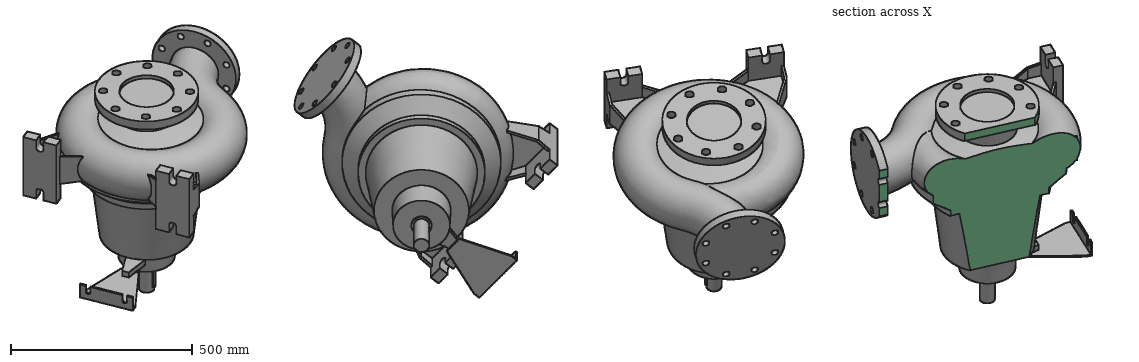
import cadquery as cq
import math


TUBE_DIAMETER = 141.0
VOLUTE_RADIUS = 193.0
VOLUTE_OFFSET_X = 15.0
OUTLET_TURN = 60
TIP_DIAMETER = 115.0
TIP_X = 80.5
TIP_Y = 165.5

BOLT_COUNT = 8
OUTLET_FACE_Y = 355.0
OUTLET_FLANGE_DIAMETER = 251.0
OUTLET_FLANGE_THICKNESS = 25.5
OUTLET_BOLT_CIRCLE = 210.5
OUTLET_BOLT_HOLE = 19.0
INLET_FACE_Z = 141.5
INLET_FLANGE_DIAMETER = 285.5
INLET_FLANGE_THICKNESS = 27.5
INLET_BOLT_CIRCLE = 239.0
INLET_BOLT_HOLE = 23.5
INLET_BORE_DIAMETER = 150.0
INLET_BORE_DEPTH = 11.5

NECK_RADIUS = 82.5
COVER_RADIUS = 161.0
COVER_TOP_Z = 63.5
COVER_EDGE_Z = 49.0
CASING_RADIUS = 219.0
CASING_TOP_Z = -27.0
CASING_BOTTOM_Z = -78.5
COLLAR_RADIUS = 175.0
COLLAR_TOP_Z = -115.0
COLLAR_BOTTOM_Z = -134.0
LANTERN_TOP_RADIUS = 154.0
LANTERN_BOTTOM_RADIUS = 130.5
LANTERN_BOTTOM_Z = -338.5
HOUSING_TOP_RADIUS = 81.0
HOUSING_BOTTOM_RADIUS = 78.5
HOUSING_BOTTOM_Z = -417.0
SEAL_RADIUS = 28.0
SEAL_BOTTOM_Z = -419.5
SHAFT_RADIUS = 21.5
OVERALL_HEIGHT = 670.0
SHAFT_BOTTOM_Z = INLET_FACE_Z - OVERALL_HEIGHT

KEY_WIDTH = 14.0
KEY_REACH = 25.0
KEY_TOP_Z = -427.5
KEY_BOTTOM_Z = -518.0

FOOT_FACE_Y = -280.0
FOOT_OUTER_X = 250.0
FOOT_WIDTH = 100.5
FOOT_HEIGHT = 198.0
FOOT_THICKNESS = 29.5
FOOT_SLOT_X = FOOT_OUTER_X - FOOT_WIDTH / 2
FOOT_SLOT_WIDTH = 22.0
FOOT_SLOT_DEPTH = 35.5

RIB_THICKNESS = 7.5
RIB_HALF_HEIGHT = 45.0
RIB_TAPER = 0.16
RIB_BEND_Y = -211.0
OUTER_RIB_END_Y = -82.5
OUTER_RIB_SLOPE = 0.49
INNER_RIB_END_X = 55.0
INNER_RIB_ANGLE = 30
WEB_HALF_THICKNESS = 5.0

BRACKET_WIDTH = 159.0
BRACKET_SHEET = 5.5
BRACKET_TOP_Z = -353.0
BRACKET_BOTTOM_Z = -397.0
BRACKET_TIP_Y = -115.0
BRACKET_TIP_WIDTH = 52.0
BRACKET_TAPER_START_Y = -260.5
BRACKET_SLOT_X = 55.0
BRACKET_SLOT_WIDTH = 14.0
BRACKET_SLOT_DEPTH = 25.5
ARM_TOP_Z = -374.5
ARM_ROOT_Y = -55.0
ARM_TIP_Y = -147.5
ARM_ROOT_WIDTH = 65.5
ARM_TIP_WIDTH = 20.0


def box_between(x_min, x_max, y_min, y_max, z_min, z_max):
    size = (x_max - x_min, y_max - y_min, z_max - z_min)
    return cq.Workplane("XY").box(*size, centered=False).translate((x_min, y_min, z_min))


def prism(points, z_min, z_max):
    return cq.Workplane("XY").workplane(offset=z_min).polyline(points).close().extrude(z_max - z_min)


def bolt_holes(flange, circle_diameter, hole_diameter):
    half_pitch = 180 / BOLT_COUNT
    pattern = flange.polarArray(circle_diameter / 2, half_pitch, 360, BOLT_COUNT)
    return pattern.hole(hole_diameter)


def turned_body():
    profile = [
        (0, INLET_FACE_Z - INLET_FLANGE_THICKNESS),
        (NECK_RADIUS, INLET_FACE_Z - INLET_FLANGE_THICKNESS),
        (NECK_RADIUS, COVER_TOP_Z),
        (COVER_RADIUS, COVER_EDGE_Z),
        (COVER_RADIUS, CASING_TOP_Z),
        (CASING_RADIUS, CASING_TOP_Z),
        (CASING_RADIUS, CASING_BOTTOM_Z),
        (COLLAR_RADIUS, COLLAR_TOP_Z),
        (COLLAR_RADIUS, COLLAR_BOTTOM_Z),
        (LANTERN_TOP_RADIUS, COLLAR_BOTTOM_Z),
        (LANTERN_BOTTOM_RADIUS, LANTERN_BOTTOM_Z),
        (HOUSING_TOP_RADIUS, LANTERN_BOTTOM_Z),
        (HOUSING_BOTTOM_RADIUS, HOUSING_BOTTOM_Z),
        (SEAL_RADIUS, HOUSING_BOTTOM_Z),
        (SEAL_RADIUS, SEAL_BOTTOM_Z),
        (SHAFT_RADIUS, SEAL_BOTTOM_Z),
        (SHAFT_RADIUS, SHAFT_BOTTOM_Z),
        (0, SHAFT_BOTTOM_Z),
    ]
    return cq.Workplane("XZ").polyline(profile).close().revolve(360, (0, 0), (0, 1))


def shaft_key():
    """Key with round ends on the +X side of the shaft."""
    middle_z = (KEY_TOP_Z + KEY_BOTTOM_Z) / 2
    plane = cq.Workplane("YZ", origin=(0, 0, middle_z))
    return plane.slot2D(KEY_TOP_Z - KEY_BOTTOM_Z, KEY_WIDTH, 90).extrude(KEY_REACH)


def inlet_flange():
    base = cq.Workplane("XY").workplane(offset=INLET_FACE_Z - INLET_FLANGE_THICKNESS)
    flange = base.circle(INLET_FLANGE_DIAMETER / 2).extrude(INLET_FLANGE_THICKNESS)
    flange = bolt_holes(flange.faces(">Z").workplane(), INLET_BOLT_CIRCLE, INLET_BOLT_HOLE)
    return flange.faces(">Z").workplane().hole(INLET_BORE_DIAMETER, INLET_BORE_DEPTH)


def outlet_flange():
    base = cq.Workplane("XZ", origin=(0, OUTLET_FACE_Y, 0))
    flange = base.circle(OUTLET_FLANGE_DIAMETER / 2).extrude(OUTLET_FLANGE_THICKNESS)
    return bolt_holes(flange.faces(">Y").workplane(), OUTLET_BOLT_CIRCLE, OUTLET_BOLT_HOLE)


def volute_point(angle):
    turn = math.radians(angle)
    return (VOLUTE_OFFSET_X + VOLUTE_RADIUS * math.cos(turn), VOLUTE_RADIUS * math.sin(turn))


def volute_tube():
    """Round tube: half a turn and more around the body, then a reverse bend into the outlet."""
    turn = math.radians(OUTLET_TURN)
    joint_x, joint_y = volute_point(OUTLET_TURN)
    bend_radius = joint_x / (1 - math.cos(turn))
    bend_x = joint_x + bend_radius * math.cos(turn)
    bend_y = joint_y + bend_radius * math.sin(turn)
    end_y = OUTLET_FACE_Y - OUTLET_FLANGE_THICKNESS / 2
    end_turn = math.asin((bend_y - end_y) / bend_radius)

    def bend_point(angle):
        return (bend_x - bend_radius * math.cos(angle), bend_y - bend_radius * math.sin(angle))

    path = (
        cq.Workplane("XY")
        .moveTo(*volute_point(-180))
        .threePointArc(volute_point((OUTLET_TURN - 180) / 2), (joint_x, joint_y))
        .threePointArc(bend_point((turn + end_turn) / 2), bend_point(end_turn))
    )
    section = cq.Workplane("XZ", origin=volute_point(-180)).circle(TUBE_DIAMETER / 2)
    return section.sweep(path)


def volute_tip():
    """Tapered start of the volute, from the full tube section to its tip in the outlet pipe."""
    start = cq.Vector(*volute_point(180))
    tip = cq.Vector(TIP_X, TIP_Y)
    start_direction = cq.Vector(0, 1, 0)
    path = cq.Edge.makeTangentArc(start, start_direction, tip)
    start_section = cq.Wire.makeCircle(TUBE_DIAMETER / 2, start, start_direction)
    tip_section = cq.Wire.makeCircle(TIP_DIAMETER / 2, tip, path.tangentAt(1))
    return cq.Workplane(cq.Solid.sweep_multi([start_section, tip_section], path))


def slot_cutter(x, top_z, depth, width, thickness):
    """Open-topped slot with a round bottom, cut through a plate that stands on FOOT_FACE_Y."""
    radius = width / 2
    plane = cq.Workplane("XZ", origin=(x, FOOT_FACE_Y + thickness, 0))
    return (
        plane.moveTo(-radius, top_z)
        .lineTo(-radius, top_z - depth + radius)
        .threePointArc((0, top_z - depth), (radius, top_z - depth + radius))
        .lineTo(radius, top_z)
        .close()
        .extrude(thickness)
    )


def foot():
    """Foot on the +X side with its two ribs and the web between them."""
    back_y = FOOT_FACE_Y + FOOT_THICKNESS
    inner_x = FOOT_OUTER_X - FOOT_WIDTH
    half_height = FOOT_HEIGHT / 2
    plate = box_between(inner_x, FOOT_OUTER_X, FOOT_FACE_Y, back_y, -half_height, half_height)
    slot = slot_cutter(FOOT_SLOT_X, half_height, FOOT_SLOT_DEPTH, FOOT_SLOT_WIDTH, FOOT_THICKNESS)
    plate = plate.cut(slot).cut(slot.mirror("XY"))

    outer_end_x = FOOT_OUTER_X - OUTER_RIB_SLOPE * (OUTER_RIB_END_Y - RIB_BEND_Y)
    inner_end_y = back_y + (inner_x - INNER_RIB_END_X) * math.tan(math.radians(INNER_RIB_ANGLE))
    inner_rise = RIB_THICKNESS / math.cos(math.radians(INNER_RIB_ANGLE))
    outer_edge = [(FOOT_OUTER_X, back_y), (FOOT_OUTER_X, RIB_BEND_Y), (outer_end_x, OUTER_RIB_END_Y)]
    outer_rib = outer_edge + [(x - RIB_THICKNESS, y) for x, y in reversed(outer_edge)]
    inner_edge = [(inner_x, back_y), (INNER_RIB_END_X, inner_end_y)]
    inner_rib = inner_edge + [(x, y - inner_rise) for x, y in reversed(inner_edge)]

    ribs = prism(outer_rib, -half_height, half_height).union(prism(inner_rib, -half_height, half_height))
    root_y = back_y - inner_rise
    root_half = RIB_HALF_HEIGHT + RIB_TAPER * inner_rise
    tip_half = RIB_HALF_HEIGHT - RIB_TAPER * (OUTER_RIB_END_Y - back_y)
    taper = [
        (root_y, -root_half),
        (OUTER_RIB_END_Y, -tip_half),
        (OUTER_RIB_END_Y, tip_half),
        (root_y, root_half),
    ]
    ribs = ribs.intersect(cq.Workplane("YZ").polyline(taper).close().extrude(FOOT_OUTER_X))

    web = prism(outer_edge + list(reversed(inner_edge)), -WEB_HALF_THICKNESS, WEB_HALF_THICKNESS)
    return plate.union(ribs).union(web)


def support_bracket():
    half_width = BRACKET_WIDTH / 2
    sheet_top_z = BRACKET_BOTTOM_Z + BRACKET_SHEET
    upright = box_between(
        -half_width, half_width, FOOT_FACE_Y, FOOT_FACE_Y + BRACKET_SHEET, BRACKET_BOTTOM_Z, BRACKET_TOP_Z
    )
    for side in (-1, 1):
        slot_x = side * BRACKET_SLOT_X
        slot = slot_cutter(slot_x, BRACKET_TOP_Z, BRACKET_SLOT_DEPTH, BRACKET_SLOT_WIDTH, BRACKET_SHEET)
        upright = upright.cut(slot)
    sheet = prism(
        [
            (-half_width, FOOT_FACE_Y),
            (half_width, FOOT_FACE_Y),
            (half_width, BRACKET_TAPER_START_Y),
            (BRACKET_TIP_WIDTH / 2, BRACKET_TIP_Y),
            (-BRACKET_TIP_WIDTH / 2, BRACKET_TIP_Y),
            (-half_width, BRACKET_TAPER_START_Y),
        ],
        BRACKET_BOTTOM_Z,
        sheet_top_z,
    )
    arm = prism(
        [
            (-ARM_ROOT_WIDTH / 2, ARM_ROOT_Y),
            (-ARM_TIP_WIDTH / 2, ARM_TIP_Y),
            (ARM_TIP_WIDTH / 2, ARM_TIP_Y),
            (ARM_ROOT_WIDTH / 2, ARM_ROOT_Y),
        ],
        sheet_top_z,
        ARM_TOP_Z,
    )
    return upright.union(sheet).union(arm)


right_foot = foot()
left_foot = right_foot.mirror("YZ")

result = turned_body().union(volute_tube()).union(volute_tip())
for piece in (inlet_flange(), outlet_flange(), right_foot, left_foot, support_bracket(), shaft_key()):
    result = result.union(piece)